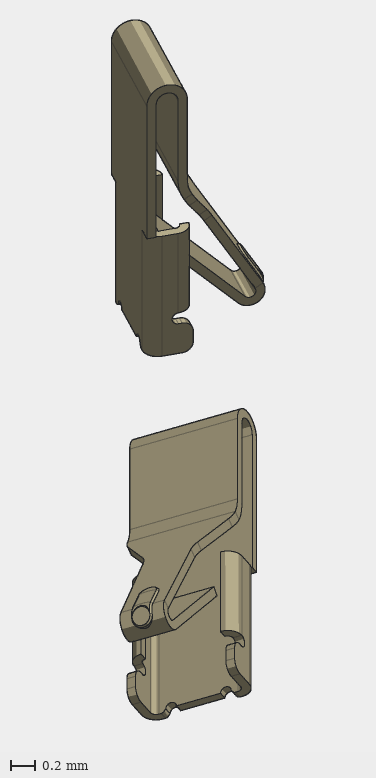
import cadquery as cq
import math

width = 1.0
height = 2.7
sheet = 0.08

hairpin_outer = 0.175
hairpin_z = height - hairpin_outer
leg_back = 2 * hairpin_outer

lean_angle = 30.0
lean_radius = 0.297
lean_start_z = 1.72

arm_length = 1.412
shoulder_start = 0.062
shoulder_end = 0.46
shoulder_radius = 0.19
waist_half = 0.221
tip_half = 0.202

foot_inner = 0.055
foot_outer = foot_inner + sheet
tongue_rise = 46.5
tongue_length = 1.08

ridge_half = 0.095
ridge_crown_half = 0.08
ridge_height = 0.027
crown_rise = 0.008
ridge_length = 0.215
ridge_wrap = 48.0

wing_top = 1.2
wing_depth = 0.402
wing_bend = 0.132
slot_bottom = 0.297
slot_width = 0.108
slot_end_y = 0.22
tab_radius = 0.097

relief_x = 0.255
relief_z = 0.032
relief_radius = 0.049
relief_neck_x = relief_x + relief_radius
relief_outer_x = 0.33
relief_lip_radius = 0.032

selection_margin = 0.003

lean = math.radians(lean_angle)
along = cq.Vector(0, math.sin(lean), -math.cos(lean))
outward = cq.Vector(0, math.cos(lean), math.sin(lean))
lean_center = cq.Vector(0, leg_back + lean_radius, lean_start_z)
arm_start = lean_center - outward * lean_radius
foot_center = arm_start + along * arm_length - outward * foot_outer


def polar(center, radius, degrees):
    """Point in the YZ plane at an angle from +Y."""
    angle = math.radians(degrees)
    return (center.y + radius * math.cos(angle), center.z + radius * math.sin(angle))


def extrude_across(profile, full_width):
    return profile.extrude(full_width / 2, both=True)


def make_hairpin():
    inner = hairpin_outer - sheet
    outer_lean = lean_radius + sheet
    mid_lean = 180 + lean_angle / 2
    end_lean = 180 + lean_angle
    profile = (
        cq.Workplane("YZ")
        .moveTo(0, wing_top)
        .lineTo(0, hairpin_z)
        .threePointArc((hairpin_outer, height), (leg_back, hairpin_z))
        .lineTo(leg_back, lean_start_z)
        .threePointArc(polar(lean_center, lean_radius, mid_lean), polar(lean_center, lean_radius, end_lean))
        .lineTo(*polar(lean_center, outer_lean, end_lean))
        .threePointArc(polar(lean_center, outer_lean, mid_lean), (leg_back - sheet, lean_start_z))
        .lineTo(leg_back - sheet, hairpin_z)
        .threePointArc((hairpin_outer, hairpin_z + inner), (sheet, hairpin_z))
        .lineTo(sheet, wing_top)
        .close()
    )
    return extrude_across(profile, width)


def make_arm():
    plane = cq.Plane(origin=arm_start.toTuple(), xDir=along.toTuple(), normal=outward.toTuple())
    half = width / 2
    arm = (
        cq.Workplane(plane)
        .polyline([
            (0, -half), (shoulder_start, -half), (shoulder_end, -waist_half), (arm_length, -tip_half),
            (arm_length, tip_half), (shoulder_end, waist_half), (shoulder_start, half), (0, half),
        ])
        .close()
        .extrude(-sheet)
    )
    shoulder_corners = cq.selectors.BoxSelector(
        plane.toWorldCoords((shoulder_start / 2, -width, -sheet / 2)),
        plane.toWorldCoords((arm_length / 2, width, -sheet / 2)),
    )
    thickness_edges = arm.edges(cq.selectors.ParallelDirSelector(outward))
    return thickness_edges.edges(shoulder_corners).fillet(shoulder_radius)


def make_foot_and_tongue():
    rise = math.radians(tongue_rise)
    end_angle = -90 - tongue_rise
    step = (-tongue_length * math.cos(rise), tongue_length * math.sin(rise))
    mid_angle = (lean_angle + end_angle) / 2
    inner_end = polar(foot_center, foot_inner, end_angle)
    profile = (
        cq.Workplane("YZ")
        .moveTo(*polar(foot_center, foot_outer, lean_angle))
        .threePointArc(polar(foot_center, foot_outer, mid_angle), polar(foot_center, foot_outer, end_angle))
        .line(*step)
        .lineTo(inner_end[0] + step[0], inner_end[1] + step[1])
        .lineTo(*inner_end)
        .threePointArc(polar(foot_center, foot_inner, mid_angle), polar(foot_center, foot_inner, lean_angle))
        .close()
    )
    return extrude_across(profile, 2 * tip_half)


def ridge_half_section(plane):
    """Half of the ridge section: local x is across the ridge, local y is out of the sheet."""
    embed = -sheet / 2
    crown_radius = (ridge_crown_half**2 + crown_rise**2) / (2 * crown_rise)
    return (
        cq.Workplane(plane)
        .moveTo(0, embed)
        .lineTo(ridge_half, embed)
        .lineTo(ridge_half, 0)
        .lineTo(ridge_crown_half, ridge_height - crown_rise)
        .radiusArc((0, ridge_height), -crown_radius)
        .close()
    )


def make_ridge():
    def section_at(origin, out):
        normal = cq.Vector(1, 0, 0).cross(out)
        return ridge_half_section(cq.Plane(origin=origin.toTuple(), xDir=(1, 0, 0), normal=normal.toTuple()))

    def dome_at(origin, out):
        return section_at(origin, out).revolve(360, (0, 0), (0, 1))

    arm_end = foot_center + outward * foot_outer
    upper_end = arm_end - along * ridge_length
    straight = section_at(arm_end, outward).extrude(ridge_length)
    wrap = section_at(arm_end, outward).revolve(ridge_wrap, (0, -foot_outer), (-1, -foot_outer))
    half = straight.union(wrap)
    lower_angle = math.radians(lean_angle - ridge_wrap)
    lower_out = cq.Vector(0, math.cos(lower_angle), math.sin(lower_angle))
    lower_dome = dome_at(foot_center + lower_out * foot_outer, lower_out)
    return half.union(half.mirror("YZ")).union(dome_at(upper_end, outward)).union(lower_dome)


def make_wing():
    """Wing on the -X side: a rounded corner, a flat side and a lip curled inward above the slot."""
    half = width / 2
    curl_start = wing_depth - wing_bend
    inner_bend = wing_bend - sheet
    mid_outer = wing_bend * math.sqrt(0.5)
    mid_inner = inner_bend * math.sqrt(0.5)
    bend_x = -half + wing_bend
    inner_x = -half + sheet

    def corner_to(far_y):
        return (
            cq.Workplane("XY")
            .moveTo(bend_x, 0)
            .threePointArc((bend_x - mid_outer, wing_bend - mid_outer), (-half, wing_bend))
            .lineTo(-half, far_y)
        )

    def back_to_corner(profile):
        return (
            profile.lineTo(inner_x, wing_bend)
            .threePointArc((bend_x - mid_inner, wing_bend - mid_inner), (bend_x, sheet))
            .close()
        )

    curled_profile = (
        corner_to(curl_start)
        .threePointArc((bend_x - mid_outer, curl_start + mid_outer), (bend_x, wing_depth))
        .lineTo(bend_x, wing_depth - sheet)
        .threePointArc((bend_x - mid_inner, curl_start + mid_inner), (inner_x, curl_start))
    )
    slot_top = slot_bottom + slot_width
    slot_middle = slot_bottom + slot_width / 2
    curled = back_to_corner(curled_profile).extrude(wing_top)
    curled = curled.intersect(
        cq.Workplane("XY", origin=(0, 0, slot_middle)).rect(width, 4 * wing_depth).extrude(wing_top)
    )
    tab = back_to_corner(corner_to(wing_depth).lineTo(inner_x, wing_depth)).extrude(slot_middle)
    slot_radius = slot_width / 2
    slot_cut = (
        cq.Workplane("YZ")
        .moveTo(wing_depth, slot_bottom)
        .lineTo(slot_end_y + slot_radius, slot_bottom)
        .threePointArc((slot_end_y, slot_middle), (slot_end_y + slot_radius, slot_top))
        .lineTo(wing_depth, slot_top)
        .close()
        .extrude(-width)
    )
    tab_edges = cq.selectors.BoxSelector(
        (-width, wing_depth - selection_margin, -selection_margin),
        (0, wing_depth + selection_margin, slot_middle),
    )
    tab = tab.cut(slot_cut).edges("|X").edges(tab_edges).fillet(tab_radius)
    return curled.cut(slot_cut).union(tab)


def make_lower_plate():
    """Flat plate between the wings, with a relief notch on each side of its bottom edge."""
    bend_x = width / 2 - wing_bend
    plate = cq.Workplane("XY").box(2 * bend_x, sheet, wing_top, centered=(True, False, False))
    foot_gap = (
        cq.Workplane("XZ")
        .polyline([
            (-relief_outer_x, 0), (-relief_neck_x, relief_z), (relief_neck_x, relief_z), (relief_outer_x, 0),
        ])
        .close()
        .extrude(-sheet)
    )
    relief_holes = (
        cq.Workplane("XZ")
        .pushPoints([(-relief_x, relief_z), (relief_x, relief_z)])
        .circle(relief_radius)
        .extrude(-sheet)
    )
    lip_edges = cq.selectors.BoxSelector(
        (-relief_outer_x - selection_margin, -selection_margin, -selection_margin),
        (relief_outer_x + selection_margin, sheet + selection_margin, selection_margin),
    )
    return plate.cut(foot_gap).cut(relief_holes).edges("|Y").edges(lip_edges).fillet(relief_lip_radius)


wing = make_wing()
result = (
    make_hairpin()
    .union(make_lower_plate())
    .union(wing)
    .union(wing.mirror("YZ"))
    .union(make_arm())
    .union(make_foot_and_tongue())
    .union(make_ridge())
)